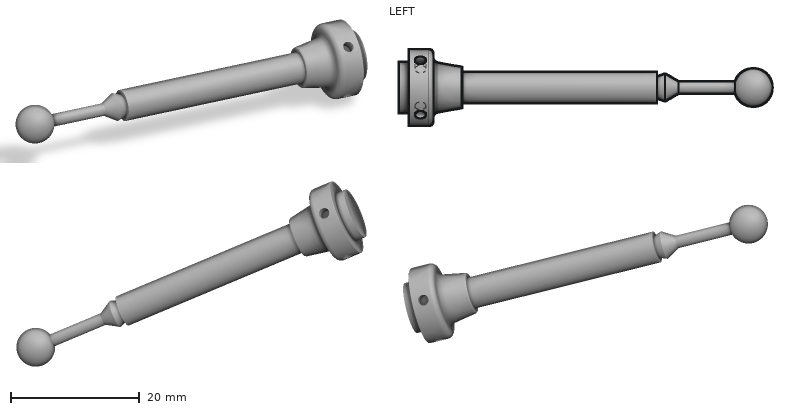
import cadquery as cq
import math

overall_length = 58.0
back_y = overall_length / 2

boss_radius = 8.0 / 2
boss_length = 1.5
flange_radius = 12.0 / 2
flange_front = 5.4
flange_fillet = 0.8
flange_chamfer = 0.05

neck_fillet = 0.7
neck_half_angle = math.radians(10)
neck_cone_front = 9.75
neck_front_radius = 3.25
neck_bevel_width = 0.1
neck_bevel_length = 0.2
neck_front = neck_cone_front + neck_bevel_length
rod_radius = 4.95 / 2
rod_front = 40.1

hole_diameter = 1.7
hole_count = 4
hole_depth = 2.0
hole_start_angle = 45
hole_distance = 3.35

collar_back_radius = 1.75
collar_radius = 2.2
collar_widest_distance = 41.3
collar_front = 43.4
stem_radius = 2.0 / 2

ball_radius = 3.0
ball_tip_y = back_y - overall_length
ball_center_y = ball_tip_y + ball_radius
ball_joint_y = ball_center_y + math.sqrt(ball_radius**2 - stem_radius**2)


def revolve_profile(profile):
    """Close a (radius, Y) profile and revolve it around the Y axis."""
    return profile.close().revolve(360, (0, 0), (0, 1))


def make_flange_hole(angle):
    """Cutter for one blind radial hole, open at the flange rim."""
    return (
        cq.Workplane("XY", origin=(0, back_y - hole_distance, flange_radius - hole_depth))
        .circle(hole_diameter / 2)
        .extrude(2 * hole_depth)
        .rotate((0, 0, 0), (0, 1, 0), angle)
    )


def make_shaft():
    """Boss, flange, neck, rod, collar and stem as one turned body."""
    flange_back_y = back_y - boss_length
    flange_front_y = back_y - flange_front

    neck_root_radius = neck_front_radius + (neck_cone_front - flange_front) * math.tan(neck_half_angle)
    tangent_length = neck_fillet * math.tan((math.pi / 2 - neck_half_angle) / 2)
    fillet_end_radius = neck_root_radius - tangent_length * math.sin(neck_half_angle)
    fillet_end_y = flange_front_y - tangent_length * math.cos(neck_half_angle)

    shaft = revolve_profile(
        cq.Workplane("XY")
        .moveTo(0, back_y)
        .lineTo(boss_radius, back_y)
        .lineTo(boss_radius, flange_back_y)
        .lineTo(flange_radius - flange_chamfer, flange_back_y)
        .lineTo(flange_radius, flange_back_y - flange_chamfer)
        .lineTo(flange_radius, flange_front_y + flange_fillet)
        .tangentArcPoint((flange_radius - flange_fillet, flange_front_y), relative=False)
        .lineTo(neck_root_radius + tangent_length, flange_front_y)
        .tangentArcPoint((fillet_end_radius, fillet_end_y), relative=False)
        .lineTo(neck_front_radius, back_y - neck_cone_front)
        .lineTo(neck_front_radius - neck_bevel_width, back_y - neck_front)
        .lineTo(rod_radius, back_y - neck_front)
        .lineTo(rod_radius, back_y - rod_front)
        .lineTo(collar_back_radius, back_y - rod_front)
        .lineTo(collar_radius, back_y - collar_widest_distance)
        .lineTo(stem_radius, back_y - collar_front)
        .lineTo(stem_radius, ball_joint_y)
        .lineTo(0, ball_joint_y)
    )
    for index in range(hole_count):
        shaft = shaft.cut(make_flange_hole(hole_start_angle + index * 360 / hole_count))
    return shaft


def make_ball():
    """Ball tip seated on the end of the stem."""
    return revolve_profile(
        cq.Workplane("XY")
        .moveTo(0, ball_joint_y)
        .lineTo(stem_radius, ball_joint_y)
        .threePointArc((ball_radius, ball_center_y), (0, ball_tip_y))
    )


shaft = make_shaft()
ball = make_ball()

result = cq.Compound.makeCompound([shaft.val(), ball.val()])